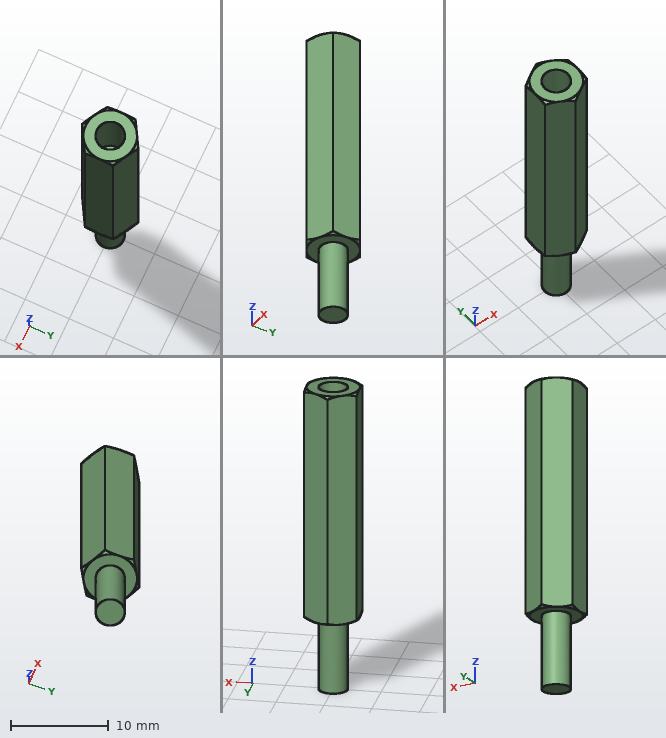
import cadquery as cq
import math

TOTAL_LENGTH = 33.0
STUD_LENGTH = 8.0
THREAD_DIAMETER = 3.0
LENGTH_TO_FLATS = 6
CHAMFER_ANGLE = 30.0

ACROSS_FLATS = TOTAL_LENGTH / LENGTH_TO_FLATS
HEX_LENGTH = TOTAL_LENGTH - STUD_LENGTH
ACROSS_CORNERS = ACROSS_FLATS / math.cos(math.radians(30))
HOLE_DEPTH = STUD_LENGTH


def chamfer_envelope():
    """Turned blank whose conical ends trim the corners of the hexagon."""
    flat_radius = ACROSS_FLATS / 2
    corner_radius = ACROSS_CORNERS / 2
    chamfer_height = (corner_radius - flat_radius) * math.tan(math.radians(CHAMFER_ANGLE))
    profile = [
        (0, 0),
        (flat_radius, 0),
        (corner_radius, chamfer_height),
        (corner_radius, HEX_LENGTH - chamfer_height),
        (flat_radius, HEX_LENGTH),
        (0, HEX_LENGTH),
    ]
    return cq.Workplane("XZ").polyline(profile).close().revolve(360, (0, 0, 0), (0, 1, 0))


def make_hex_body():
    """Hexagonal spacer with flats facing +X and -X and a blind hole in its top."""
    prism = (
        cq.Workplane("XY")
        .polygon(6, ACROSS_CORNERS)
        .extrude(HEX_LENGTH)
        .rotate((0, 0, 0), (0, 0, 1), 30)
    )
    hole = (
        cq.Workplane("XY", origin=(0, 0, HEX_LENGTH - HOLE_DEPTH))
        .circle(THREAD_DIAMETER / 2)
        .extrude(HOLE_DEPTH)
    )
    return prism.intersect(chamfer_envelope()).cut(hole)


def make_stud():
    """Plain round stud hanging from the bottom face of the hexagonal spacer."""
    return cq.Workplane("XY").circle(THREAD_DIAMETER / 2).extrude(-STUD_LENGTH)


hex_body = make_hex_body()
stud = make_stud()

result = cq.Compound.makeCompound([hex_body.val(), stud.val()])